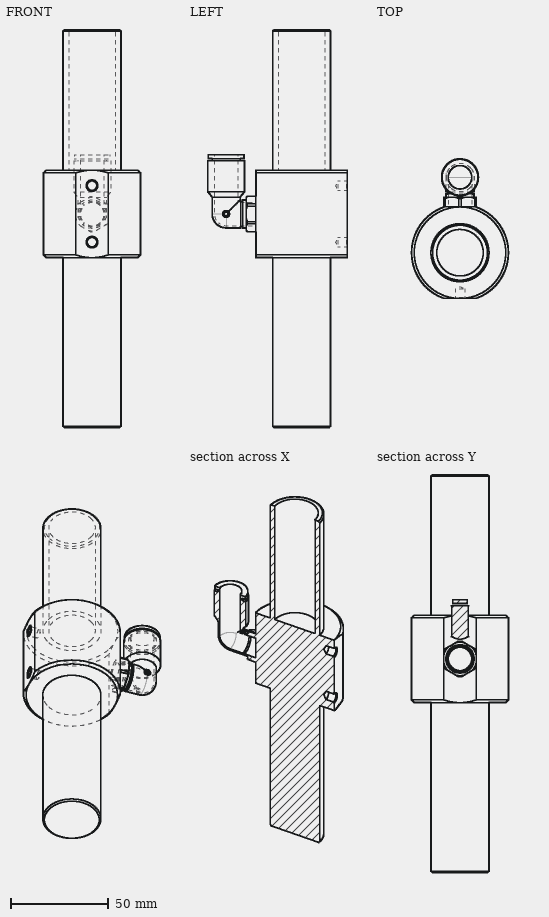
import cadquery as cq

tube_length = 205.0
tube_diameter = 30.0
tube_bore_diameter = 24.0
tube_chamfer = 0.8

collar_diameter = 50.0
collar_height = 45.0
collar_bottom = 87.5
collar_chamfer = 1.5
flat_distance = 23.5
collar_middle = collar_bottom + collar_height / 2
collar_top = collar_bottom + collar_height

screw_hole_diameter = 5.0
screw_mouth_diameter = 6.0
screw_hole_depth = 5.0
screw_hole_spacing = 29.1

elbow_diameter = 14.5
elbow_bore_diameter = 12.0
socket_diameter = 19.0
socket_bottom = 121.5
socket_top = 137.5
socket_taper_height = 2.9
release_ring_diameter = 18.5
release_ring_thickness = 2.0
release_neck_diameter = 14.5
fitting_top = 140.6
overall_depth = 72.0
fitting_y = overall_depth - flat_distance - socket_diameter / 2
pin_diameter = 3.5
pin_recess_diameter = 2.0
pin_recess_depth = 0.5
groove_diameter = 13.1
groove_start_y = 30.3
groove_width = 1.0
pin_protrusion = 0.1
pin_length = elbow_diameter + 2 * pin_protrusion

hex_across_flats = 16.6
hex_corner_diameter = 18.5
hex_end_y = 28.5
hex_chamfer = 0.6
embed_depth = 1.0


def cylinder_z(diameter, bottom, top, y=0):
    return cq.Workplane("XY", origin=(0, y, bottom)).circle(diameter / 2).extrude(top - bottom)


def cylinder_y(diameter, start, end, z):
    """Cylinder along +Y from start to end."""
    plane = cq.Plane(origin=(0, start, z), xDir=(1, 0, 0), normal=(0, 1, 0))
    return cq.Workplane(plane).circle(diameter / 2).extrude(end - start)


def make_tube():
    return cylinder_z(tube_diameter, 0, tube_length).faces("<Z or >Z").chamfer(tube_chamfer)


def make_collar():
    collar = cylinder_z(collar_diameter, collar_bottom, collar_top)
    collar = collar.faces("<Z or >Z").chamfer(collar_chamfer)
    slab = cq.Workplane("XY").box(collar_diameter, 2 * flat_distance, collar_height)
    return collar.intersect(slab.translate((0, 0, collar_middle)))


def screw_hole(z):
    """Blind hole with a countersunk mouth and a conical drill tip."""
    radius = screw_hole_diameter / 2
    mouth_radius = screw_mouth_diameter / 2
    mouth_end = -flat_distance + mouth_radius - radius
    hole_end = -flat_distance + screw_hole_depth
    profile = [
        (0, -flat_distance),
        (mouth_radius, -flat_distance),
        (radius, mouth_end),
        (radius, hole_end),
        (0, hole_end + radius / 2),
    ]
    hole = cq.Workplane("XY").polyline(profile).close().revolve(360, (0, 0, 0), (0, 1, 0))
    return hole.translate((0, 0, z))


def elbow(diameter, inner_y, top):
    """Round right-angle bend with a spherical corner."""
    corner = cq.Workplane("XY").sphere(diameter / 2).translate((0, fitting_y, collar_middle))
    vertical = cylinder_z(diameter, collar_middle, top, fitting_y)
    horizontal = cylinder_y(diameter, inner_y, fitting_y, collar_middle)
    return corner.union(vertical).union(horizontal)


def make_socket():
    """Push-in socket with a tapered base, a release neck and a release ring."""
    socket_radius = socket_diameter / 2
    neck_radius = release_neck_diameter / 2
    ring_radius = release_ring_diameter / 2
    ring_bottom = fitting_top - release_ring_thickness
    profile = [
        (0, socket_bottom - socket_taper_height),
        (elbow_diameter / 2, socket_bottom - socket_taper_height),
        (socket_radius, socket_bottom),
        (socket_radius, socket_top),
        (neck_radius, socket_top),
        (neck_radius, ring_bottom),
        (ring_radius, ring_bottom),
        (ring_radius, fitting_top),
        (0, fitting_top),
    ]
    socket = cq.Workplane("XZ").polyline(profile).close().revolve(360, (0, 0, 0), (0, 1, 0))
    return socket.translate((0, fitting_y, 0))


def make_hexagon():
    """Hexagon with corners toward +Z and -Z, turned down at its corners."""
    start_y = flat_distance - embed_depth
    plane = cq.Plane(origin=(0, start_y, collar_middle), xDir=(1, 0, 0), normal=(0, 1, 0))
    prism = cq.Workplane(plane).polygon(6, hex_across_flats, circumscribed=True)
    prism = prism.extrude(hex_end_y - start_y)
    turned = cylinder_y(hex_corner_diameter, start_y, hex_end_y, collar_middle)
    return prism.intersect(turned.faces(">Y").chamfer(hex_chamfer))


def elbow_groove():
    """Ring-shaped cutter that narrows the elbow just outside the hexagon."""
    groove_end = groove_start_y + groove_width
    outer = cylinder_y(socket_diameter, groove_start_y, groove_end, collar_middle)
    return outer.cut(cylinder_y(groove_diameter, groove_start_y, groove_end, collar_middle))


def make_pins():
    """Small pins standing slightly proud of both sides of the elbow corner."""
    pin = cq.Workplane("YZ").circle(pin_diameter / 2).extrude(pin_length / 2, both=True)
    return pin.translate((0, fitting_y, collar_middle))


def pin_recess(side):
    """Cutter for the shallow round recess in one pin end."""
    recess = cq.Workplane("YZ").circle(pin_recess_diameter / 2).extrude(pin_recess_depth, both=True)
    return recess.translate((side * pin_length / 2, fitting_y, collar_middle))


result = make_tube().union(make_collar()).union(make_hexagon())
elbow_body = elbow(elbow_diameter, flat_distance, socket_bottom).cut(elbow_groove())
result = result.union(elbow_body)
result = result.union(make_socket()).union(make_pins())

for side in (-1, 1):
    result = result.cut(pin_recess(side))

result = result.cut(elbow(elbow_bore_diameter, flat_distance, fitting_top))

result = result.cut(cylinder_z(tube_bore_diameter, collar_top, tube_length))

for side in (-1, 1):
    result = result.cut(screw_hole(collar_middle + side * screw_hole_spacing / 2))